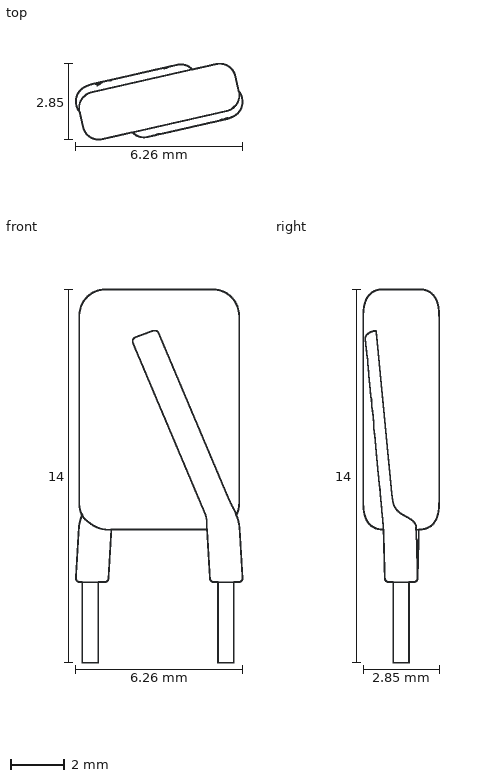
import cadquery as cq
import math

body_width = 5.99
body_thickness = 1.8
body_height = 9.0
body_turn = 12.8
corner_radius = 1.0
edge_radius = 0.6

total_height = 14
pin_diameter = 0.6
pin_pitch = 5.08
pin_shift = -0.04
body_bottom = total_height - body_height

sleeve_radius = 0.62
sleeve_end_rounding = 0.15
sleeve_bottom = 3.02
sleeve_bottom_x = 2.52
bend_x = 2.4
bend_y = -0.05
bend_z = 5.15
bend_tangent_length = 0.17
front_rise = 7.17
front_across = 3.11
back_rise = 7.32
back_across = 3.36


def make_body():
    box = cq.Workplane("XY").box(
        body_width, body_thickness, body_height, centered=(True, True, False)
    )
    rounded = box.edges("|Y").fillet(corner_radius).faces("<Y or >Y").edges().fillet(edge_radius)
    return rounded.rotate((0, 0, 0), (0, 0, 1), body_turn).translate((0, 0, body_bottom))


def make_insulation(rise, across):
    """Sleeve and diagonal run on the -Y side of the body, swept as one bent rod."""
    turn = math.radians(body_turn)
    start = cq.Vector(sleeve_bottom_x, 0, sleeve_bottom)
    bend = cq.Vector(bend_x, bend_y, bend_z)
    end = bend + cq.Vector(-across * math.cos(turn), -across * math.sin(turn), rise)
    sleeve_direction = (bend - start).normalized()
    run_direction = (end - bend).normalized()
    arc_start = bend - sleeve_direction * bend_tangent_length
    arc_end = bend + run_direction * bend_tangent_length

    path = cq.Wire.assembleEdges([
        cq.Edge.makeLine(start, arc_start),
        cq.Edge.makeTangentArc(arc_start, sleeve_direction, arc_end),
        cq.Edge.makeLine(arc_end, end),
    ])
    section = cq.Workplane("XY", origin=start.toTuple())
    rod = section.circle(sleeve_radius).sweep(cq.Workplane(obj=path))
    return rod.faces("<Z or >Z").edges().fillet(sleeve_end_rounding)


def make_pin(side):
    pin_top = (sleeve_bottom + bend_z) / 2
    return (
        cq.Workplane("XY")
        .center(side * pin_pitch / 2 + pin_shift, 0)
        .circle(pin_diameter / 2)
        .extrude(pin_top)
    )


front_insulation = make_insulation(front_rise, front_across)
back_insulation = make_insulation(back_rise, back_across).rotate((0, 0, 0), (0, 0, 1), 180)

result = make_body().union(front_insulation).union(back_insulation)
for side in (-1, 1):
    result = result.union(make_pin(side))